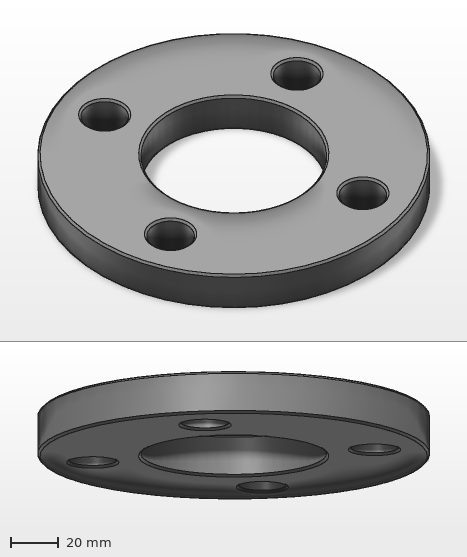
import cadquery as cq

outer_diameter = 165.0
thickness = 18.0
bore_diameter = 78.0
bolt_circle_diameter = 121.0
bolt_hole_diameter = 20.0
bolt_hole_count = 4
edge_chamfer = 1.0


def flange_ring():
    """Flat disc with a central bore."""
    return (
        cq.Workplane("XY")
        .circle(outer_diameter / 2)
        .circle(bore_diameter / 2)
        .extrude(thickness)
    )


def bolt_holes():
    """Through-hole cylinders equally spaced on the bolt circle."""
    return (
        cq.Workplane("XY")
        .polarArray(bolt_circle_diameter / 2, 0, 360, bolt_hole_count)
        .circle(bolt_hole_diameter / 2)
        .extrude(thickness)
    )


drilled_ring = flange_ring().cut(bolt_holes())

result = drilled_ring.faces("<Z or >Z").edges().chamfer(edge_chamfer)